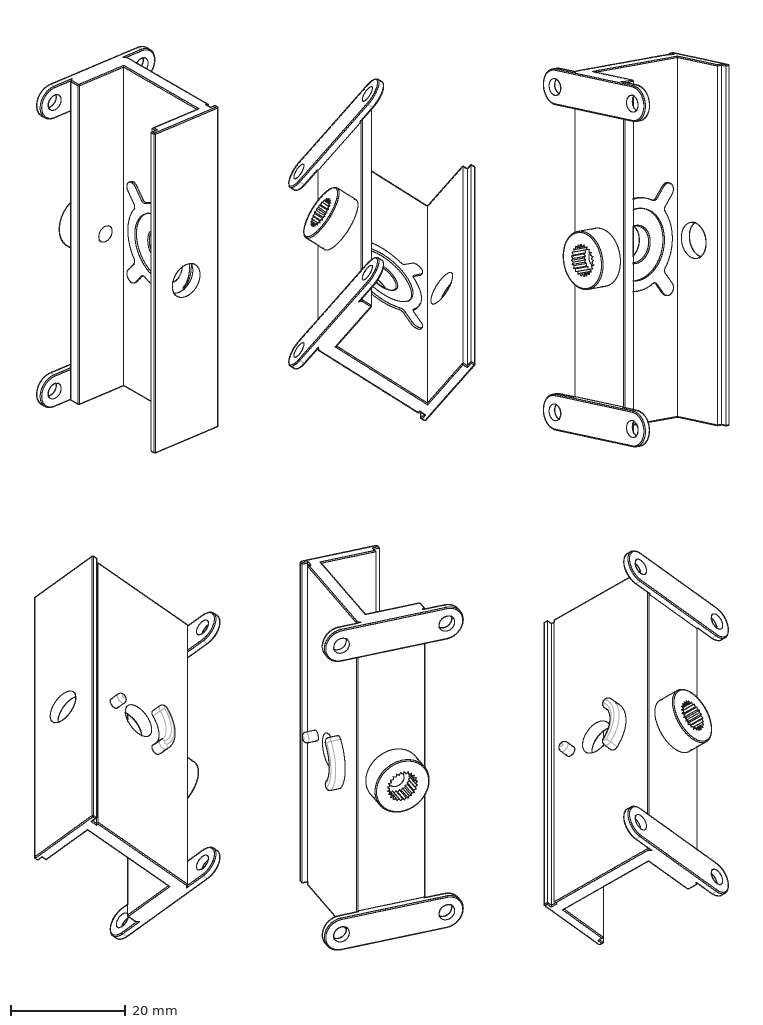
import cadquery as cq
import math

length = 64.35
left_wall = 2.3
cavity_width = 19.75
right_web = 0.95
right_flange = 0.95
half_depth = 6.5
base_inner_y = 3.85
web_top_y = 6.1
flange_top_y = 7.15
flange_bottom_y = -7.6
edge_chamfer = 0.2

ear_thickness = 1.35
ear_span = 26.4
ear_height = 6.4
ear_hole_diameter = 2.95

boss_height = 4.3
boss_diameter = 10.3
axis_y = -0.3
spline_teeth = 24
spline_root_radius = 2.8
spline_tip_radius = 2.45
spline_depth = 2.95
screw_hole_diameter = 3.1
access_hole_diameter = 6.4

ring_outer_radius = 8.3
ring_inner_radius = 6.45
ring_height = 0.4
arm_tip_x = 7.3
arm_tip_z = 8.75
arm_width = 2.6
arm_root_fillet = 0.8
base_hole_diameter = 6.45
base_hole_chamfer = 0.2

stop_radius = 6.0
stop_width = 1.9
stop_height = 2.45
stop_tip_fillet = 0.65
rib_half_angle = 45

pick_margin = 0.05

right_inner_x = left_wall + cavity_width
flange_inner_x = right_inner_x + right_web
right_outer_x = flange_inner_x + right_flange
hub_x = left_wall + cavity_width / 2


def block(x0, x1, y0, y1):
    """Full-length bar between two X and two Y limits, centred on Z = 0."""
    bar = cq.Workplane("XY").box(x1 - x0, y1 - y0, length, centered=(False, False, True))
    return bar.translate((x0, y0, 0))


def y_cylinder(radius, y_start, height, x=hub_x):
    """Cylinder growing towards +Y."""
    start = cq.Vector(x, y_start, 0)
    return cq.Workplane(cq.Solid.makeCylinder(radius, height, start, cq.Vector(0, 1, 0)))


def x_cylinder(diameter, x_start, x_end):
    """Cylinder on the boss axis."""
    start = cq.Vector(x_start, axis_y, 0)
    return cq.Workplane(cq.Solid.makeCylinder(diameter / 2, x_end - x_start, start, cq.Vector(1, 0, 0)))


def lengthwise_edge(x, y):
    """Selector for the edge along Z at one corner of the cross-section."""
    low = (x - pick_margin, y - pick_margin, -length)
    high = (x + pick_margin, y + pick_margin, length)
    return cq.selectors.BoxSelector(low, high)


def make_channel():
    channel = block(0, left_wall, -half_depth, half_depth)
    channel = channel.union(block(0, right_inner_x, base_inner_y, half_depth))
    channel = channel.union(block(right_inner_x, flange_inner_x, -half_depth, web_top_y))
    channel = channel.union(block(flange_inner_x, right_outer_x, flange_bottom_y, flange_top_y))
    corners = lengthwise_edge(0, half_depth) + lengthwise_edge(0, -half_depth)
    corners = corners + lengthwise_edge(left_wall, -half_depth)
    corners = corners + lengthwise_edge(right_outer_x, flange_top_y)
    corners = corners + lengthwise_edge(right_outer_x, flange_bottom_y)
    return channel.edges("|Z").edges(corners).chamfer(edge_chamfer)


def make_ear(z):
    hole_spacing = ear_span - ear_height
    ear = cq.Workplane("YZ").slot2D(ear_span, ear_height).extrude(-ear_thickness)
    holes = (
        cq.Workplane("YZ")
        .pushPoints([(-hole_spacing / 2, 0), (hole_spacing / 2, 0)])
        .circle(ear_hole_diameter / 2)
        .extrude(-ear_thickness)
    )
    return ear.cut(holes).translate((0, 0, z))


def make_spline():
    """Toothed socket cutter; a tooth tip points along +Y."""
    points = []
    for i in range(2 * spline_teeth):
        radius = spline_tip_radius if i % 2 == 0 else spline_root_radius
        angle = math.pi * i / spline_teeth
        points.append((radius * math.cos(angle), radius * math.sin(angle)))
    spline = cq.Workplane("YZ").polyline(points).close().extrude(spline_depth)
    return spline.translate((-boss_height, axis_y, 0))


def make_ring():
    """Ring with four round-ended arms, raised from the inner face of the base."""
    face_y = base_inner_y - ring_height
    ring = y_cylinder(ring_outer_radius, face_y, ring_height)
    arm_reach = math.hypot(arm_tip_x, arm_tip_z)
    arm_slope = math.degrees(math.atan2(arm_tip_z, arm_tip_x))
    for angle in (arm_slope, 180 - arm_slope):
        arms = cq.Workplane("XZ").slot2D(2 * arm_reach + arm_width, arm_width, angle).extrude(-ring_height)
        ring = ring.union(arms.translate((hub_x, face_y, 0)))
    roots = []
    for edge in ring.edges("|Y").vals():
        distance = math.hypot(edge.Center().x - hub_x, edge.Center().z)
        if math.isclose(distance, ring_outer_radius, abs_tol=pick_margin):
            roots.append(edge)
    ring = ring.newObject(roots).fillet(arm_root_fillet)
    return ring.cut(y_cylinder(ring_inner_radius, face_y, ring_height))


def make_stops():
    pin = y_cylinder(stop_width / 2, half_depth, stop_height, hub_x + stop_radius)

    def polar(radius, degrees):
        angle = math.radians(degrees)
        return (hub_x + radius * math.cos(angle), radius * math.sin(angle))

    inner = stop_radius - stop_width / 2
    outer = stop_radius + stop_width / 2
    start = 180 - rib_half_angle
    end = 180 + rib_half_angle
    rib = (
        cq.Workplane("XZ", origin=(0, half_depth, 0))
        .moveTo(*polar(outer, start))
        .threePointArc(polar(outer, 180), polar(outer, end))
        .tangentArcPoint(polar(inner, end), relative=False)
        .threePointArc(polar(inner, 180), polar(inner, start))
        .tangentArcPoint(polar(outer, start), relative=False)
        .close()
        .extrude(-stop_height)
    )
    return [stop.faces(">Y").edges().fillet(stop_tip_fillet) for stop in (pin, rib)]


result = make_channel()
for side in (-1, 1):
    result = result.union(make_ear(side * (length - ear_height) / 2))
result = result.faces(">Z or <Z").edges().chamfer(edge_chamfer)

boss = x_cylinder(boss_diameter, -boss_height, 0).faces("<X").edges().chamfer(edge_chamfer)
result = result.union(boss)
result = result.union(make_ring())
for stop in make_stops():
    result = result.union(stop)

result = result.cut(make_spline())
result = result.cut(x_cylinder(screw_hole_diameter, -boss_height, left_wall))
result = result.cut(x_cylinder(access_hole_diameter, right_inner_x, right_outer_x))

base_hole = y_cylinder(base_hole_diameter / 2, base_inner_y, half_depth - base_inner_y)
result = result.cut(base_hole)
rim_reach = base_hole_diameter / 2 + 0.65
hole_rim = cq.selectors.BoxSelector(
    (hub_x - rim_reach, base_inner_y - pick_margin, -rim_reach),
    (hub_x + rim_reach, base_inner_y + pick_margin, rim_reach),
    boundingbox=True,
)
result = result.edges(hole_rim).chamfer(base_hole_chamfer)